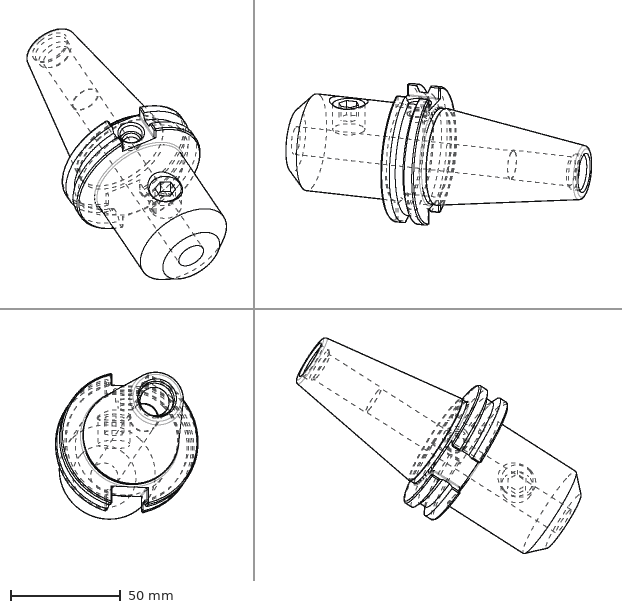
import cadquery as cq
import math

OVERALL_LENGTH = 138.1

GAUGE_DIAMETER = 44.5
GAUGE_X = 68.4
TAPER_RATIO = 7 / 24
TAPER_TIP_ROUND = 1.4

NECK_DIAMETER = 43.9
NECK_LENGTH = 3.2
ROOT_FILLET = 0.8
FLANGE_DIAMETER = 63.5
FLANGE_WIDTH = 15.7
FLANGE_CHAMFER = 0.7
GROOVE_DIAMETER = 56.6
GROOVE_MOUTH_WIDTH = 7.0
GROOVE_FLOOR_WIDTH = 3.7

SLOT_WIDTH = 16.0
TOP_SLOT_FLOOR = 24.9
BOTTOM_SLOT_FLOOR = 22.8
SLOT_CHAMFER = 0.7
SLOT_FLOOR_FILLET = 0.4

NOSE_DIAMETER = 44.5
NOSE_CHAMFER = 7.6

PILOT_MOUTH_DIAMETER = 18.0
PILOT_DIAMETER = 16.5
PILOT_MOUTH_DEPTH = 1.4
PILOT_DEPTH = 4.8
THREAD_DIAMETER = 13.4
THREAD_DEPTH = 34.5
BORE_DIAMETER = 12.7

SLOT_HOLE_MOUTH_DIAMETER = 12.2
SLOT_HOLE_DIAMETER = 10.1
SLOT_HOLE_DEPTH = 5.2
DRILL_DIAMETER = 8.0
DRILL_DEPTH = 8.0
DRILL_POINT_ANGLE = 140

SCREW_DIAMETER = 14.6
SCREW_X = 112.7
SCREW_BOTTOM_Z = 8.3
SCREW_SINK_DIAMETER = 18.0
SOCKET_FLATS = 8.1
SOCKET_DEPTH = 6.9

TOLERANCE = 0.01

flange_front_x = GAUGE_X + NECK_LENGTH
flange_rear_x = flange_front_x + FLANGE_WIDTH
flange_middle_x = (flange_front_x + flange_rear_x) / 2
flange_radius = FLANGE_DIAMETER / 2
nose_radius = NOSE_DIAMETER / 2
neck_radius = NECK_DIAMETER / 2
gauge_radius = GAUGE_DIAMETER / 2
tip_radius = gauge_radius - GAUGE_X * TAPER_RATIO / 2
screw_sink_depth = (SCREW_SINK_DIAMETER - SCREW_DIAMETER) / 2
screw_top_z = nose_radius - screw_sink_depth


def turned_body():
    """Taper, neck, flange and nose revolved about X."""
    outline = (
        cq.Workplane("XY")
        .moveTo(0, 0)
        .lineTo(0, tip_radius)
        .lineTo(GAUGE_X, gauge_radius)
        .lineTo(GAUGE_X + gauge_radius - neck_radius, neck_radius)
        .lineTo(flange_front_x - ROOT_FILLET, neck_radius)
        .radiusArc((flange_front_x, neck_radius + ROOT_FILLET), -ROOT_FILLET)
        .lineTo(flange_front_x, flange_radius - FLANGE_CHAMFER)
        .lineTo(flange_front_x + FLANGE_CHAMFER, flange_radius)
        .lineTo(flange_rear_x - FLANGE_CHAMFER, flange_radius)
        .lineTo(flange_rear_x, flange_radius - FLANGE_CHAMFER)
        .lineTo(flange_rear_x, nose_radius + ROOT_FILLET)
        .radiusArc((flange_rear_x + ROOT_FILLET, nose_radius), -ROOT_FILLET)
        .lineTo(OVERALL_LENGTH - NOSE_CHAMFER, nose_radius)
        .lineTo(OVERALL_LENGTH, nose_radius - NOSE_CHAMFER)
        .lineTo(OVERALL_LENGTH, 0)
        .close()
    )
    body = outline.revolve(360, (0, 0, 0), (1, 0, 0))
    return body.faces("<X").edges().fillet(TAPER_TIP_ROUND)


def drive_slot(floor_height):
    """Block that cuts one slot through the flange, from its floor outward along +Z."""
    block = cq.Workplane("XY").box(FLANGE_WIDTH, SLOT_WIDTH, flange_radius, centered=(True, True, False))
    return block.translate((flange_middle_x, 0, floor_height))


def slot_wall_edges(body, on_floor):
    """Edges of the slot walls: either the floor corners or all the others."""
    edges = []
    for edge in body.faces("|Y").edges().vals():
        along_axis = edge.BoundingBox().zlen < TOLERANCE
        is_floor_corner = along_axis and abs(edge.Center().z) < TOP_SLOT_FLOOR + TOLERANCE
        if is_floor_corner == on_floor:
            edges.append(edge)
    return edges


def ease_slot_edges(body):
    """Chamfer the outer edges of the slot walls and fillet the floor corners."""
    body = body.newObject(slot_wall_edges(body, on_floor=False)).chamfer(SLOT_CHAMFER)
    return body.newObject(slot_wall_edges(body, on_floor=True)).fillet(SLOT_FLOOR_FILLET)


def gripper_groove():
    """Ring with a V-shaped section that cuts the groove around the flange."""
    outline = (
        cq.Workplane("XY")
        .moveTo(flange_middle_x - GROOVE_MOUTH_WIDTH / 2, flange_radius)
        .lineTo(flange_middle_x - GROOVE_FLOOR_WIDTH / 2, GROOVE_DIAMETER / 2)
        .lineTo(flange_middle_x + GROOVE_FLOOR_WIDTH / 2, GROOVE_DIAMETER / 2)
        .lineTo(flange_middle_x + GROOVE_MOUTH_WIDTH / 2, flange_radius)
        .close()
    )
    return outline.revolve(360, (0, 0, 0), (1, 0, 0))


def axial_bore():
    """Pilot with a tapered mouth and a conical shoulder, a plain thread core, then the through bore."""
    pilot_radius = PILOT_DIAMETER / 2
    bore_radius = BORE_DIAMETER / 2
    thread_radius = THREAD_DIAMETER / 2
    outline = (
        cq.Workplane("XY")
        .moveTo(0, 0)
        .lineTo(0, PILOT_MOUTH_DIAMETER / 2)
        .lineTo(PILOT_MOUTH_DEPTH, pilot_radius)
        .lineTo(PILOT_DEPTH, pilot_radius)
        .lineTo(PILOT_DEPTH + pilot_radius - thread_radius, thread_radius)
        .lineTo(THREAD_DEPTH, thread_radius)
        .lineTo(THREAD_DEPTH, bore_radius)
        .lineTo(OVERALL_LENGTH, bore_radius)
        .lineTo(OVERALL_LENGTH, 0)
        .close()
    )
    return outline.revolve(360, (0, 0, 0), (1, 0, 0))


def slot_hole():
    """Chamfered hole with a smaller drilled hole in its floor, sunk from the top slot."""
    hole_radius = SLOT_HOLE_DIAMETER / 2
    drill_radius = DRILL_DIAMETER / 2
    mouth_radius = SLOT_HOLE_MOUTH_DIAMETER / 2
    point_length = drill_radius / math.tan(math.radians(DRILL_POINT_ANGLE / 2))
    outline = (
        cq.Workplane("XZ")
        .moveTo(0, 0)
        .lineTo(mouth_radius, 0)
        .lineTo(hole_radius, hole_radius - mouth_radius)
        .lineTo(hole_radius, -SLOT_HOLE_DEPTH)
        .lineTo(drill_radius, -SLOT_HOLE_DEPTH)
        .lineTo(drill_radius, -DRILL_DEPTH)
        .lineTo(0, -DRILL_DEPTH - point_length)
        .close()
    )
    hole = outline.revolve(360, (0, 0, 0), (0, 1, 0))
    return hole.translate((flange_middle_x, 0, TOP_SLOT_FLOOR))


def screw_pocket():
    """Blind hole for the screw, opened by a 45 degree countersink."""
    screw_radius = SCREW_DIAMETER / 2
    sink_radius = SCREW_SINK_DIAMETER / 2
    outline = (
        cq.Workplane("XZ")
        .moveTo(0, SCREW_BOTTOM_Z)
        .lineTo(screw_radius, SCREW_BOTTOM_Z)
        .lineTo(screw_radius, screw_top_z)
        .lineTo(sink_radius, nose_radius)
        .lineTo(0, nose_radius)
        .close()
    )
    return outline.revolve(360, (0, 0, 0), (0, 1, 0)).translate((SCREW_X, 0, 0))


def make_holder():
    """Tool holder with its flange, slots, bore and holes."""
    top_slot = drive_slot(TOP_SLOT_FLOOR)
    bottom_slot = drive_slot(BOTTOM_SLOT_FLOOR).rotate((0, 0, 0), (1, 0, 0), 180)
    body = turned_body().cut(top_slot).cut(bottom_slot)
    body = ease_slot_edges(body).cut(gripper_groove())
    return body.cut(axial_bore()).cut(slot_hole()).cut(screw_pocket())


def make_clamp_screw():
    """Plain screw with a hexagon socket whose corners point along X."""
    socket_corners = SOCKET_FLATS / math.cos(math.pi / 6)
    shank = cq.Workplane("XY").circle(SCREW_DIAMETER / 2).extrude(screw_top_z - SCREW_BOTTOM_Z)
    screw = shank.faces(">Z").workplane().polygon(6, socket_corners).cutBlind(-SOCKET_DEPTH)
    return screw.translate((SCREW_X, 0, SCREW_BOTTOM_Z))


holder = make_holder()
clamp_screw = make_clamp_screw()
result = cq.Compound.makeCompound([holder.val(), clamp_screw.val()])